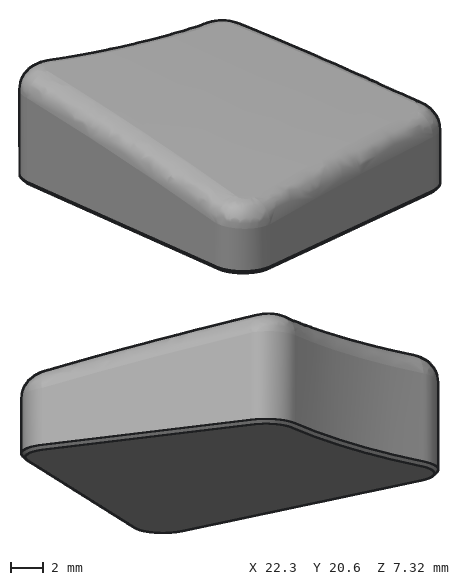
import cadquery as cq
import math

length_x = 22.26
width_y = 20.56
height = 7.32

corner_radius = 4.25 / 2
left_corner_radius = 2.25
top_fillet = 1.5
bottom_chamfer = 0.24

front_slope = 0.25

scoop_radius = 32.0
scoop_center_y = 3.0

dome_radius = 300.0


front_right_round_x = -corner_radius
front_right_round_y = corner_radius - width_y
front_stretch = math.hypot(1, front_slope)
front_y_at_origin = front_right_round_y + front_slope * front_right_round_x - corner_radius * front_stretch


def front_y(x):
    """Y of the slanted front side at a given X."""
    return front_y_at_origin - front_slope * x


left_round_x = left_corner_radius - length_x
left_round_y = front_y(left_round_x) + left_corner_radius * front_stretch

scoop_reach_y = scoop_center_y - left_round_y
scoop_to_round = scoop_radius + left_corner_radius
scoop_center_x = left_round_x - math.sqrt(scoop_to_round ** 2 - scoop_reach_y ** 2)


def make_block():
    """Upright block with the straight sides, the scooped left side and rounded corners."""
    far_left = scoop_center_x
    block = (
        cq.Workplane("XY")
        .polyline([(0, 0), (far_left, 0), (far_left, front_y(far_left)), (0, front_y(0))])
        .close()
        .extrude(2 * height)
    )
    scoop = (
        cq.Workplane("XY")
        .center(scoop_center_x, scoop_center_y)
        .circle(scoop_radius)
        .extrude(2 * height)
    )
    sharp = cq.Workplane(block.cut(scoop).solids(">X").val())
    three_rounded = sharp.edges("|Z").edges(">X or >Y").fillet(corner_radius)
    return three_rounded.edges("|Z").edges("<X").fillet(left_corner_radius)


def make_dome():
    """Sphere placed so that the top fillet along the scooped side crests at full height."""
    ball_center_z = height - top_fillet
    ball_to_dome = dome_radius - top_fillet
    ball_to_axis = scoop_radius + top_fillet
    dome_center_z = ball_center_z - math.sqrt(ball_to_dome ** 2 - ball_to_axis ** 2)
    return cq.Workplane("XY").sphere(dome_radius).translate(
        (scoop_center_x, scoop_center_y, dome_center_z)
    )


block = make_block().intersect(make_dome())
rounded = block.faces(">Z").edges().fillet(top_fillet)
result = rounded.faces("<Z").edges().chamfer(bottom_chamfer)